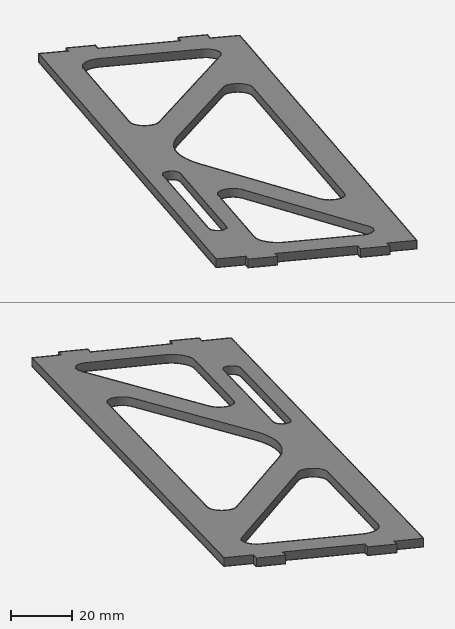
import cadquery as cq
import math

thickness = 3.0
body_length = 212.0
body_width = 68.0
left_edge_lean = 0.5

tab_width = 10.0
tab_inset = 10.0
right_tab_length = 3.0
left_tab_length = 2.93

rim = 10.0
strut_width = 10.0
strut_angle = 32.7
middle_half_length = 71.8
right_window_floor = 18.0
tip_radius = 5.0
square_corner_radius = 8.0
valley_radius = 25.0

slot_length = 61.0
slot_width = 6.0
slot_center_x = 48.5
slot_center_from_bottom = 9.0

half_length = body_length / 2
half_width = body_width / 2
top_rim_y = half_width - rim
bottom_rim_y = -half_width + rim
strut_slope = math.tan(math.radians(strut_angle))
strut_run = strut_width / math.sin(math.radians(strut_angle))


def left_edge_x(y):
    """X of the leaning left edge of the body at height y."""
    return -half_length + left_edge_lean * (y + half_width) / body_width


def outer_strut_x(y):
    """Distance from the centre line to the outer side of a strut at height y."""
    return middle_half_length + strut_run - (top_rim_y - y) / strut_slope


def outer_strut_y(x):
    """Height of the outer side of a strut at distance x from the centre line."""
    return top_rim_y + (x - middle_half_length - strut_run) * strut_slope


def rounded_prism(corners):
    """Prism through the plate; every corner is (x, y, radius)."""
    points = [(x, y) for x, y, _ in corners]
    prism = cq.Workplane("XY").polyline(points).close().extrude(thickness)
    for x, y, radius in corners:
        corner_edge = cq.selectors.NearestToPointSelector((x, y, thickness / 2))
        prism = prism.edges("|Z").edges(corner_edge).fillet(radius)
    return prism


def make_body():
    corners = [
        (left_edge_x(-half_width), -half_width),
        (half_length, -half_width),
        (half_length, half_width),
        (left_edge_x(half_width), half_width),
    ]
    return cq.Workplane("XY").polyline(corners).close().extrude(thickness)


def make_tabs():
    """Tabs on both ends, each rooted inside the rim."""
    tabs = cq.Workplane("XY")
    root_depth = rim / 2
    tab_offset_y = half_width - tab_inset - tab_width / 2
    for side, tab_length in ((-1, left_tab_length), (1, right_tab_length)):
        bar_length = tab_length + root_depth
        bar_center_x = side * (half_length + tab_length - bar_length / 2)
        for tab_y in (-tab_offset_y, tab_offset_y):
            tab = cq.Workplane("XY").center(bar_center_x, tab_y).rect(bar_length, tab_width)
            tabs = tabs.add(tab.extrude(thickness))
    return tabs.combine()


def make_middle_window():
    valley_y = top_rim_y - middle_half_length * strut_slope
    return rounded_prism([
        (-middle_half_length, top_rim_y, tip_radius),
        (0, valley_y, valley_radius),
        (middle_half_length, top_rim_y, tip_radius),
    ])


def make_left_window():
    bottom_x = left_edge_x(bottom_rim_y) + rim
    top_x = left_edge_x(top_rim_y) + rim
    return rounded_prism([
        (bottom_x, bottom_rim_y, square_corner_radius),
        (-outer_strut_x(bottom_rim_y), bottom_rim_y, tip_radius),
        (top_x, outer_strut_y(-top_x), tip_radius),
    ])


def make_right_window():
    floor_y = -half_width + right_window_floor
    wall_x = half_length - rim
    return rounded_prism([
        (wall_x, floor_y, square_corner_radius),
        (outer_strut_x(floor_y), floor_y, tip_radius),
        (wall_x, outer_strut_y(wall_x), tip_radius),
    ])


def make_slot():
    slot_center_y = -half_width + slot_center_from_bottom
    slot = cq.Workplane("XY").center(slot_center_x, slot_center_y)
    return slot.slot2D(slot_length, slot_width).extrude(thickness)


result = make_body().union(make_tabs())
for opening in (make_middle_window(), make_left_window(), make_right_window(), make_slot()):
    result = result.cut(opening)